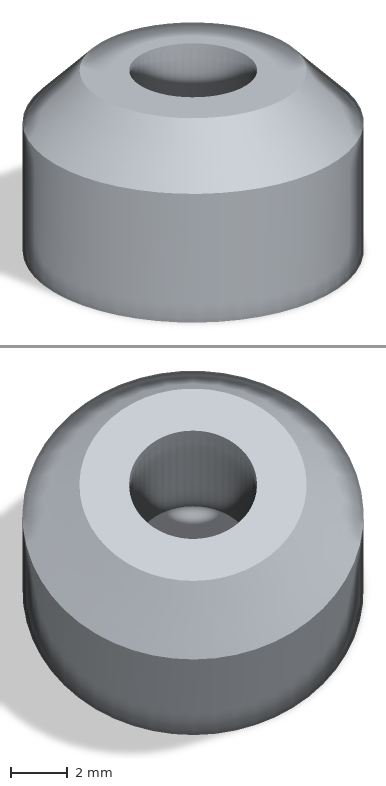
import cadquery as cq

outer_diameter = 12
height = 7.0
chamfer_size = 2.0

bore_diameter = 4.5
floor_thickness = 2.0
bore_depth = height - floor_thickness

body = (
    cq.Workplane("XY")
    .circle(outer_diameter / 2)
    .extrude(height)
    .faces(">Z")
    .chamfer(chamfer_size)
)

result = body.faces(">Z").workplane().hole(bore_diameter, bore_depth)